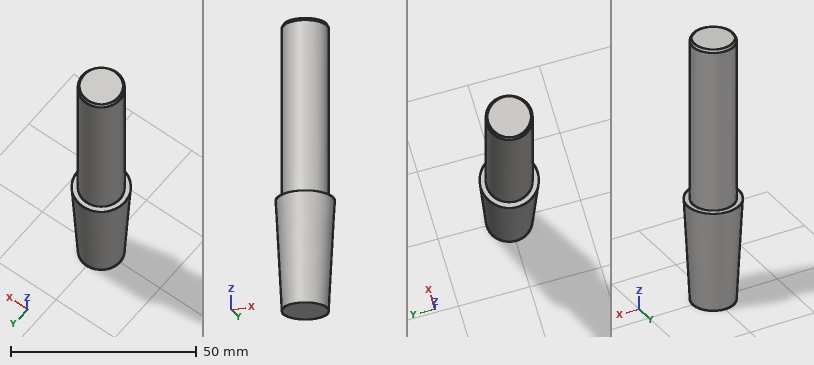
import cadquery as cq

total_length = 82.6
tip_length = 31.8
shank_length = total_length - tip_length

shank_diameter = 12.7
tip_large_diameter = 16.0
tip_small_diameter = 12.7

bevel_width = 0.5
bevel_height = 0.8


def make_shank():
    """Straight round shank standing on the tip, beveled at its upper end."""
    radius = shank_diameter / 2
    return (
        cq.Workplane("XY", origin=(0, 0, tip_length))
        .circle(radius)
        .extrude(shank_length)
        .faces(">Z")
        .edges()
        .chamfer(bevel_height, bevel_width)
    )


def make_tip():
    """Solid tapered tip, narrow at the bottom and widest where it meets the shank."""
    return cq.Workplane(
        cq.Solid.makeCone(tip_small_diameter / 2, tip_large_diameter / 2, tip_length)
    )


shank = make_shank()
tip = make_tip()

result = cq.Compound.makeCompound([shank.val(), tip.val()])